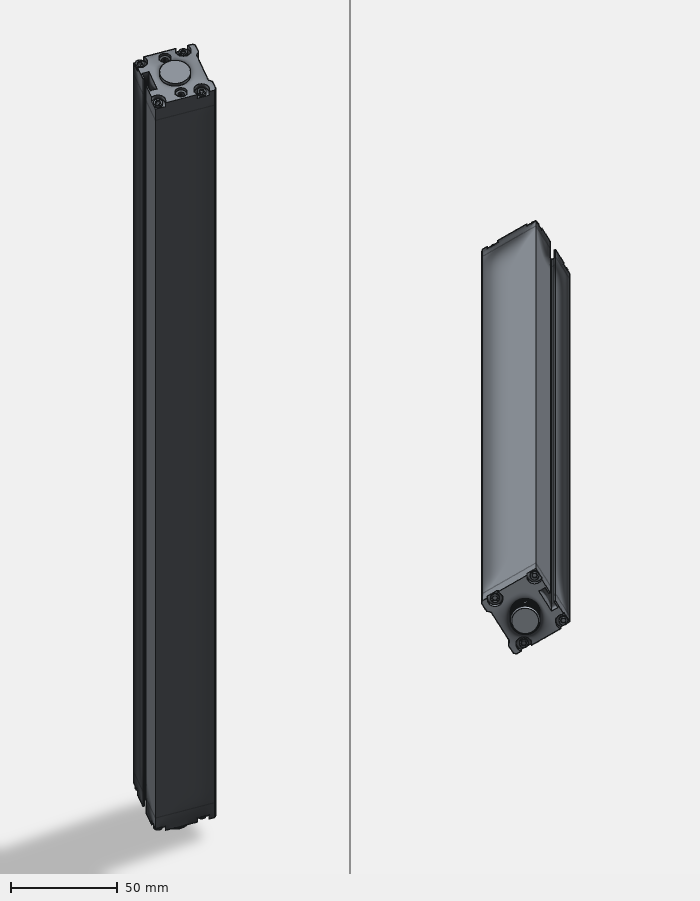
import cadquery as cq

total_length = 521.5
width = 31.0
depth = 30.0
half_depth = depth / 2

plug_height = 1.8
connector_length = 12.0
cap_height = 10.5
cap_top = total_length / 2 - plug_height
cap_bottom = -total_length / 2 + connector_length
middle_top = cap_top - cap_height
middle_bottom = cap_bottom + cap_height

corner_chamfer = 1.0
window_depth = 1.5
window_half_width = 10.0
slot_half_width = 2.35
slot_head_half_width = 5.5
slot_lip = 0.8
slot_depth = 4.0

plug_diameter = 14.5
connector_diameter = 14.0
thread_groove_depth = 0.8
thread_pitch = 1.5
thread_count = 6
connector_chamfer = 0.8

screw_head_diameter = 4.0
screw_head_height = 1.5
screw_socket_sides = 6
screw_socket_size = 2.5
screw_socket_depth = 1.0
recess_diameter = 7.5
recess_depth = 2.5
screw_shank_diameter = 3.0
screw_shank_length = cap_height - recess_depth
screw_x = 13.0
front_screw_y = -13.0
rear_screw_y = 8.6
screw_places = [(side * screw_x, y) for side in (-1, 1) for y in (front_screw_y, rear_screw_y)]

side_hole_y = -1.0
side_hole_x = 11.5
side_hole_diameter = 5.5
side_hole_bore_diameter = 3.0
side_hole_step_depth = 1.5
side_hole_depth = 6.0


def section_bar(z_low, z_high):
    """Bar with a T-slot in its -Y face, a shallow window in its +Y face and two chamfered corners."""
    height = z_high - z_low
    base = cq.Workplane("XY", origin=(0, 0, z_low))
    bar = base.rect(width, depth).extrude(height)
    bar = bar.faces(">Y").edges("|Z").chamfer(corner_chamfer)

    window_floor = half_depth - window_depth
    floor_half_width = window_half_width - window_depth
    window = [
        (-window_half_width, half_depth),
        (window_half_width, half_depth),
        (floor_half_width, window_floor),
        (-floor_half_width, window_floor),
    ]
    bar = bar.cut(base.polyline(window).close().extrude(height))

    slot_mouth = base.center(0, -half_depth).rect(2 * slot_half_width, 2 * slot_depth).extrude(height)
    head_height = slot_depth - slot_lip
    head_y = -half_depth + slot_lip + head_height / 2
    slot_head = base.center(0, head_y).rect(2 * slot_head_half_width, head_height).extrude(height)
    return bar.cut(slot_mouth).cut(slot_head)


def column(x, y, z, diameter, height):
    """Upright cylinder from z; a negative height goes down."""
    return cq.Workplane("XY", origin=(x, y, z)).circle(diameter / 2).extrude(height)


def screw(x, y, z_seat, outward):
    """Socket-head screw whose head stands on z_seat and points along outward (+1 or -1)."""
    head = column(x, y, z_seat, screw_head_diameter, outward * screw_head_height)
    shank = column(x, y, z_seat, screw_shank_diameter, -outward * screw_shank_length)
    socket = (
        cq.Workplane("XY", origin=(x, y, z_seat + outward * screw_head_height))
        .polygon(screw_socket_sides, screw_socket_size)
        .extrude(-outward * screw_socket_depth)
    )
    return head.union(shank).cut(socket)


def with_screw_recesses(cap, z_end, outward):
    """End block with a recess, open to the side, and a shank hole at each corner screw."""
    for x, y in screw_places:
        z_seat = z_end - outward * recess_depth
        cap = cap.cut(column(x, y, z_seat, recess_diameter, outward * recess_depth))
        cap = cap.cut(column(x, y, z_seat, screw_shank_diameter, -outward * screw_shank_length))
    return cap


def make_top_cap():
    """Top end of the housing with its round plug and the two stepped side holes."""
    cap = section_bar(middle_top, cap_top)
    cap = cap.union(column(0, 0, cap_top, plug_diameter, plug_height))
    cap = with_screw_recesses(cap, cap_top, 1)
    for side in (-1, 1):
        x = side * side_hole_x
        cap = cap.cut(column(x, side_hole_y, cap_top, side_hole_diameter, -side_hole_step_depth))
        cap = cap.cut(column(x, side_hole_y, cap_top, side_hole_bore_diameter, -side_hole_depth))
    return cap


def make_bottom_cap():
    """Bottom end of the housing, which carries the connector."""
    return with_screw_recesses(section_bar(cap_bottom, middle_bottom), cap_bottom, -1)


def make_housing():
    """Middle stretch and both ends as one solid; the joint lines between them stay on its faces."""
    middle = section_bar(middle_bottom, middle_top)
    return middle.union(make_top_cap(), clean=False).union(make_bottom_cap(), clean=False)


def make_connector():
    """Threaded round connector, cut with evenly spaced V-grooves and chamfered at its free end."""
    body = column(0, 0, cap_bottom, connector_diameter, -connector_length)
    body = body.faces("<Z").chamfer(connector_chamfer)
    outer_radius = connector_diameter / 2
    core_radius = outer_radius - thread_groove_depth
    for i in range(thread_count):
        z = cap_bottom - thread_pitch * (i + 1)
        v_profile = [
            (core_radius, z),
            (outer_radius, z + thread_pitch / 2),
            (outer_radius, z - thread_pitch / 2),
        ]
        groove = cq.Workplane("XZ").polyline(v_profile).close().revolve(360, (0, 0, 0), (0, 1, 0))
        body = body.cut(groove)
    return body


housing = make_housing()
connector = make_connector()
top_screws = [screw(x, y, cap_top - recess_depth, 1) for x, y in screw_places]
bottom_screws = [screw(x, y, cap_bottom + recess_depth, -1) for x, y in screw_places]
screws = [body.solids().val() for body in top_screws + bottom_screws]

result = cq.Compound.makeCompound([housing.solids().val(), connector.solids().val(), *screws])